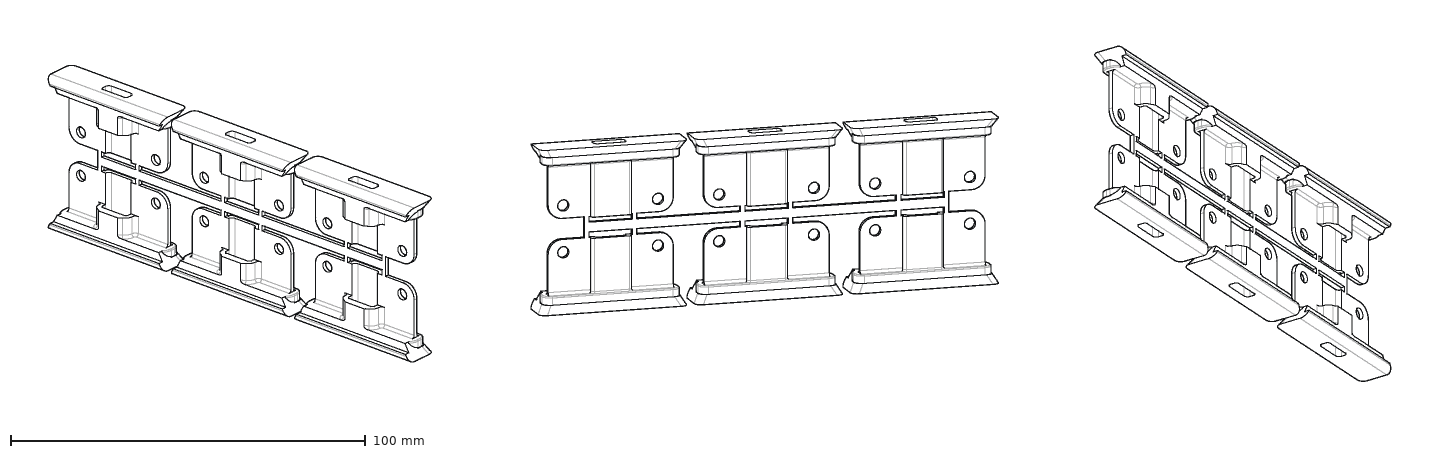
import cadquery as cq
import math

PICK_MARGIN = 0.1

TOTAL_LENGTH = 135.5
TOTAL_DEPTH = 10.7
TOTAL_HEIGHT = 48.0
COLUMN_PITCH = 46.0
COLUMN_CENTRES = (-COLUMN_PITCH, 0.0, COLUMN_PITCH)

TOP_Z = TOTAL_HEIGHT / 2
CAP_BOTTOM_Z = 21.4
COLLAR_BOTTOM_Z = 19.0
BOSS_BOTTOM_Z = 12.9
PLATE_GAP = 6.1
PLATE_BOTTOM_Z = PLATE_GAP / 2

CAP_HALF_LENGTH = (TOTAL_LENGTH - 2 * COLUMN_PITCH) / 2
CAP_HALF_DEPTH = TOTAL_DEPTH / 2
DRAFT_SLOPE = math.tan(math.radians(30))
CAP_CORNER_RADIUS = 2.5
NOSE_RADIUS = 2.0

CAP_INSET = DRAFT_SLOPE * (TOP_Z - CAP_BOTTOM_Z)
COLLAR_HALF_LENGTH = 20.2
COLLAR_HALF_DEPTH = CAP_HALF_DEPTH - CAP_INSET
COLLAR_FRONT_Y = -COLLAR_HALF_DEPTH
COLLAR_FRONT_RADIUS = 4.0
COLLAR_REAR_RADIUS = 2.5
COLLAR_EDGE_ROUND = 0.34
PLATE_FILLET = 0.8
CHANNEL_FILLET = 0.47

PLATE_FRONT_Y = 0.61
SHEET_THICKNESS = 1.2
PLATE_REAR_Y = PLATE_FRONT_Y + SHEET_THICKNESS
PLATE_HALF_LENGTH = 18.5
PLATE_CORNER_RADIUS = 4.0
HOLE_DIAMETER = 3.3
HOLE_OFFSET_X = 14.0
HOLE_Z = 6.8
CHANNEL_HALF_LENGTH = 4.7
CHANNEL_CORNER_RADIUS = SHEET_THICKNESS
CHANNEL_REAR_ROUND = 0.8

BOSS_HALF_LENGTH = 7.5
BOSS_FOOT_RADIUS = 1.29
BOSS_SHOULDER_X = 4.7
BOSS_SHOULDER_Y = -3.0
BOSS_FACE_HALF_LENGTH = 3.5
SLOT_DEPTH = 3.3
SLOT_FRONT_Y = PLATE_REAR_Y - SLOT_DEPTH
SLOT_CORNER_RADIUS = 0.8

RUNNER_HEIGHT = 2.8
TAB_WIDTH = 1.4
TAB_OUTER_X = 7.7


def box(x_range, y_range, z_range):
    """Block between two limits along each axis."""
    lengths = [high - low for low, high in (x_range, y_range, z_range)]
    corner = (x_range[0], y_range[0], z_range[0])
    return cq.Workplane("XY").box(*lengths, centered=False).translate(corner)


def drafted_ends(bottom_z, y_range):
    """Block as long as the cap at the top, drawn in at both ends by the draft."""
    bottom_half_length = CAP_HALF_LENGTH - DRAFT_SLOPE * (TOP_Z - bottom_z)
    outline = [
        (-CAP_HALF_LENGTH, TOP_Z),
        (CAP_HALF_LENGTH, TOP_Z),
        (bottom_half_length, bottom_z),
        (-bottom_half_length, bottom_z),
    ]
    rear_plane = cq.Workplane("XZ", origin=(0, y_range[1], 0))
    return rear_plane.polyline(outline).close().extrude(y_range[1] - y_range[0])


def make_cap():
    nose_diagonal = NOSE_RADIUS * math.sqrt(0.5)
    nose_centre_y = NOSE_RADIUS - CAP_HALF_DEPTH
    nose_centre_z = TOP_Z - NOSE_RADIUS
    section = (
        cq.Workplane("YZ", origin=(-CAP_HALF_LENGTH, 0, 0))
        .moveTo(CAP_HALF_DEPTH, TOP_Z)
        .lineTo(nose_centre_y, TOP_Z)
        .threePointArc(
            (nose_centre_y - nose_diagonal, nose_centre_z + nose_diagonal),
            (-CAP_HALF_DEPTH, nose_centre_z),
        )
        .lineTo(-CAP_HALF_DEPTH, CAP_BOTTOM_Z)
        .lineTo(COLLAR_HALF_DEPTH, CAP_BOTTOM_Z)
        .close()
        .extrude(2 * CAP_HALF_LENGTH)
    )
    cap = section.intersect(drafted_ends(CAP_BOTTOM_Z, (-CAP_HALF_DEPTH, CAP_HALF_DEPTH)))
    rear_corners = cq.selectors.BoxSelector(
        (-CAP_HALF_LENGTH, 0, CAP_BOTTOM_Z + PICK_MARGIN),
        (CAP_HALF_LENGTH, CAP_HALF_DEPTH - PICK_MARGIN, TOP_Z - PICK_MARGIN),
    )
    return cap.edges(rear_corners).fillet(CAP_CORNER_RADIUS)


def make_collar():
    collar = box(
        (-COLLAR_HALF_LENGTH, COLLAR_HALF_LENGTH),
        (COLLAR_FRONT_Y, COLLAR_HALF_DEPTH),
        (COLLAR_BOTTOM_Z, CAP_BOTTOM_Z),
    )
    collar = collar.edges("|Z and <Y").fillet(COLLAR_FRONT_RADIUS)
    collar = collar.edges("|Z and >Y").fillet(COLLAR_REAR_RADIUS)
    front = drafted_ends(COLLAR_BOTTOM_Z, (COLLAR_FRONT_Y, 0))
    below_cap = box(
        (-CAP_HALF_LENGTH, CAP_HALF_LENGTH),
        (COLLAR_FRONT_Y, 0),
        (COLLAR_BOTTOM_Z, CAP_BOTTOM_Z),
    )
    collar = collar.union(front.intersect(below_cap))
    behind_front_face = cq.selectors.BoxSelector(
        (-CAP_HALF_LENGTH, COLLAR_FRONT_Y / 2, COLLAR_BOTTOM_Z - PICK_MARGIN),
        (CAP_HALF_LENGTH, CAP_HALF_DEPTH, COLLAR_BOTTOM_Z + PICK_MARGIN),
    )
    return collar.edges(behind_front_face).fillet(COLLAR_EDGE_ROUND)


def make_plate():
    plate = box(
        (-PLATE_HALF_LENGTH, PLATE_HALF_LENGTH),
        (PLATE_FRONT_Y, PLATE_REAR_Y),
        (PLATE_BOTTOM_Z, COLLAR_BOTTOM_Z),
    )
    return plate.edges("|Y and <Z").fillet(PLATE_CORNER_RADIUS)


def make_channel_back():
    half_length = CHANNEL_HALF_LENGTH + SHEET_THICKNESS
    back = box(
        (-half_length, half_length),
        (PLATE_FRONT_Y, PLATE_REAR_Y + SHEET_THICKNESS),
        (PLATE_BOTTOM_Z, COLLAR_BOTTOM_Z),
    )
    return back.edges("|Z and >Y").fillet(CHANNEL_REAR_ROUND)


def make_boss():
    wall_x = BOSS_HALF_LENGTH - BOSS_FOOT_RADIUS
    wall_y = PLATE_FRONT_Y - BOSS_FOOT_RADIUS
    foot_diagonal = BOSS_FOOT_RADIUS * math.sqrt(0.5)
    foot_middle = (BOSS_HALF_LENGTH - foot_diagonal, wall_y + foot_diagonal)
    right_half = (
        cq.Workplane("XY", origin=(0, 0, BOSS_BOTTOM_Z))
        .moveTo(0, PLATE_FRONT_Y)
        .lineTo(BOSS_HALF_LENGTH, PLATE_FRONT_Y)
        .threePointArc(foot_middle, (wall_x, wall_y))
        .tangentArcPoint((BOSS_SHOULDER_X, BOSS_SHOULDER_Y), relative=False)
        .tangentArcPoint((BOSS_FACE_HALF_LENGTH, COLLAR_FRONT_Y), relative=False)
        .lineTo(0, COLLAR_FRONT_Y)
        .close()
        .extrude(COLLAR_BOTTOM_Z - BOSS_BOTTOM_Z)
    )
    return right_half.union(right_half.mirror("YZ"))


def blend_under_collar(body, front_y, rear_y, radius):
    """Fillet the lines on the collar's underside that are centred within the depth range.

    Lines on the front limit and at the two ends of the plate are left sharp.
    """
    underside = cq.selectors.BoxSelector(
        (PICK_MARGIN - PLATE_HALF_LENGTH, front_y + PICK_MARGIN, COLLAR_BOTTOM_Z - PICK_MARGIN),
        (PLATE_HALF_LENGTH - PICK_MARGIN, rear_y + PICK_MARGIN, COLLAR_BOTTOM_Z + PICK_MARGIN),
    )
    return body.edges(underside).fillet(radius)


def cut_channel_and_slot(body):
    channel = box(
        (-CHANNEL_HALF_LENGTH, CHANNEL_HALF_LENGTH),
        (SLOT_FRONT_Y, PLATE_REAR_Y),
        (PLATE_BOTTOM_Z, TOP_Z),
    )
    channel = channel.edges("|Z and >Y").fillet(CHANNEL_CORNER_RADIUS)
    channel = channel.edges("|Z and <Y").fillet(SLOT_CORNER_RADIUS)
    return body.cut(channel)


def make_upper_block():
    """One block: cap and collar with the plate, boss and channel hanging below them."""
    collar = make_collar()
    front = blend_under_collar(
        collar.union(make_plate()).union(make_boss()),
        COLLAR_FRONT_Y,
        PLATE_FRONT_Y,
        PLATE_FILLET,
    )
    plate_back = blend_under_collar(
        collar.union(make_plate()),
        PLATE_FRONT_Y,
        PLATE_REAR_Y,
        PLATE_FILLET,
    )
    channel_back = blend_under_collar(
        collar.union(make_channel_back()),
        PLATE_FRONT_Y,
        PLATE_REAR_Y + SHEET_THICKNESS,
        CHANNEL_FILLET,
    )
    block = cut_channel_and_slot(front.union(plate_back).union(channel_back).union(make_cap()))
    holes = (
        cq.Workplane("XZ", origin=(0, PLATE_REAR_Y, 0))
        .pushPoints([(-HOLE_OFFSET_X, HOLE_Z), (HOLE_OFFSET_X, HOLE_Z)])
        .circle(HOLE_DIAMETER / 2)
        .extrude(SHEET_THICKNESS)
    )
    return block.cut(holes)


def make_runner():
    """Thin bar along the strip with a pair of tabs for every column."""
    sheet = (PLATE_FRONT_Y, PLATE_REAR_Y)
    half_length = COLUMN_PITCH + TAB_OUTER_X
    runner = box(
        (-half_length, half_length),
        sheet,
        (-RUNNER_HEIGHT / 2, RUNNER_HEIGHT / 2),
    )
    tab_reach = (-PLATE_BOTTOM_Z, PLATE_BOTTOM_Z)
    for centre in COLUMN_CENTRES:
        for left in (centre - TAB_OUTER_X, centre + TAB_OUTER_X - TAB_WIDTH):
            runner = runner.union(box((left, left + TAB_WIDTH), sheet, tab_reach))
    return runner


upper_block = make_upper_block()
lower_block = upper_block.mirror("XY")
result = make_runner()
for column_x in COLUMN_CENTRES:
    for block in (upper_block, lower_block):
        result = result.union(block.translate((column_x, 0, 0)))